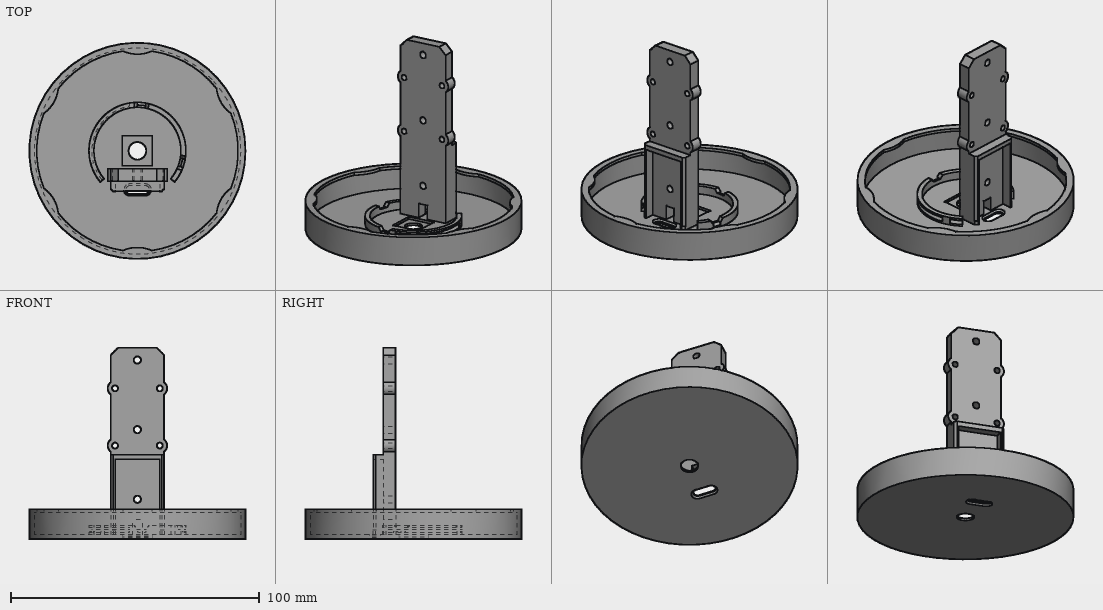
import cadquery as cq

dish_diameter = 87.0
cavity_diameter = 83.0
lip_diameter = 81.0
dish_height = 12.0
floor_thickness = 2.0
lip_thickness = 1.2

bump_count = 6
bump_first_angle = 30.0
bump_radius = 14.3
bump_tip_distance = 38.85

centre_hole_diameter = 7.0
pocket_side = 12.0
pocket_depth = 1.0

slot_centre_y = -15.6
slot_pitch = 6.0
slot_width = 3.5
slot_chamfer = 0.75
slot_chamfer_angle = 45.0

ring_outer_radius = 19.5
ring_inner_radius = 17.5
ring_height = 3.5
ring_start_angle = -40.0
ring_end_angle = 220.0
groove_depth = 1.1
groove_lip = 0.8
groove_start_angle = 100.0
stop_angle = 200.0
stop_span = 9.5

notch_angles = (85.0, -15.0)
notch_top_width = 5.8
notch_bottom_width = 3.4

plate_width = 21.5
plate_thickness = 5.0
plate_back_y = -7.2
plate_top_z = 77.0
plate_corner_chamfer = 3.0
centre_screw_diameter = 2.8
centre_screw_heights = (16.0, 44.0, 72.0)

lug_radius = 3.0
lug_hole_diameter = 2.3
lug_spacing_x = 18.0
lug_heights = (37.6, 60.6)

frame_depth = 4.0
frame_top_z = 34.0
frame_chamfer = 1.0
recess_width = 18.0
recess_top_z = 32.0
foot_step = 0.2
foot_height = 1.8
wire_gate_width = 4.0
wire_gate_height = 6.0

floor_z = floor_thickness
ring_top_z = floor_z + ring_height
groove_radius = ring_outer_radius - groove_depth
notch_floor_z = floor_z + groove_lip + groove_depth
plate_front_y = plate_back_y - plate_thickness
frame_front_y = plate_front_y - frame_depth
cut_margin = 1.0


def disc(diameter, z_bottom, z_top):
    """Upright cylinder on the dish axis."""
    return cq.Workplane("XY").workplane(offset=z_bottom).circle(diameter / 2).extrude(z_top - z_bottom)


def block(width, y_front, y_back, z_bottom, z_top):
    """Box centred on X = 0 between the given Y and Z limits."""
    size = (width, y_back - y_front, z_top - z_bottom)
    return cq.Workplane("XY").box(*size, centered=(True, False, False)).translate((0, y_front, z_bottom))


def plate_rods(points, diameter):
    """Cylinders through the plate thickness at the given (x, z) points."""
    plane = cq.Workplane("XZ", origin=(0, plate_back_y, 0))
    return plane.pushPoints(points).circle(diameter / 2).extrude(plate_thickness)


def make_dish():
    lip_bottom_z = dish_height - lip_thickness
    dish = disc(dish_diameter, 0, dish_height)
    dish = dish.cut(disc(cavity_diameter, floor_z, lip_bottom_z))
    opening = disc(lip_diameter, lip_bottom_z, dish_height)
    bumps = (
        cq.Workplane("XY")
        .workplane(offset=lip_bottom_z)
        .polarArray(bump_tip_distance + bump_radius, bump_first_angle, 360, bump_count)
        .circle(bump_radius)
        .extrude(lip_thickness)
    )
    return dish.cut(opening.cut(bumps))


def make_floor_cuts():
    pocket = block(pocket_side, -pocket_side / 2, pocket_side / 2, floor_z - pocket_depth, floor_z)
    hole = disc(centre_hole_diameter, 0, floor_z)
    slot_plane = cq.Workplane("XY", origin=(0, slot_centre_y, 0))
    slot = slot_plane.slot2D(slot_pitch + slot_width, slot_width).extrude(floor_z)
    mouth_width = slot_width + 2 * slot_chamfer
    cuts = pocket.union(hole).union(slot)
    for z, inward in ((floor_z, -1), (0, 1)):
        plane = cq.Workplane("XY", origin=(0, slot_centre_y, z))
        outline = plane.slot2D(slot_pitch + mouth_width, mouth_width)
        mouth = outline.extrude(inward * slot_chamfer, taper=slot_chamfer_angle)
        cuts = cuts.union(mouth)
    return cuts


def revolve_sector(profile, start_angle, end_angle):
    """Revolve an (r, z) profile counter-clockwise about Z between two angles measured from +X."""
    sector = cq.Workplane("XZ").polyline(profile).close().revolve(end_angle - start_angle, (0, 0), (0, 1))
    return sector.rotate((0, 0, 0), (0, 0, 1), start_angle)


def make_notch(angle):
    """Trapezoidal cutter across the ring wall with a 45 degree ramp down its outer side."""
    gap_profile = [
        (-notch_bottom_width / 2, notch_floor_z),
        (notch_bottom_width / 2, notch_floor_z),
        (notch_top_width / 2, ring_top_z),
        (-notch_top_width / 2, ring_top_z),
    ]
    gap_start = ring_inner_radius - cut_margin
    gap_length = ring_outer_radius + cut_margin - gap_start
    gap = cq.Workplane("YZ", origin=(gap_start, 0, 0)).polyline(gap_profile).close().extrude(gap_length)
    ramp_run = groove_depth + cut_margin
    ramp_profile = [
        (groove_radius, notch_floor_z),
        (groove_radius + ramp_run, notch_floor_z),
        (groove_radius + ramp_run, notch_floor_z - ramp_run),
    ]
    ramp = cq.Workplane("XZ").polyline(ramp_profile).close().extrude(notch_bottom_width / 2, both=True)
    return gap.union(ramp).rotate((0, 0, 0), (0, 0, 1), angle)


def make_bayonet_ring():
    wall_profile = [
        (ring_inner_radius, floor_z),
        (ring_outer_radius, floor_z),
        (ring_outer_radius, ring_top_z),
        (ring_inner_radius, ring_top_z),
    ]
    groove_bottom_z = floor_z + groove_lip
    groove_top_z = ring_top_z - groove_lip
    groove_profile = [
        (ring_outer_radius, groove_bottom_z),
        (ring_outer_radius, groove_top_z),
        (groove_radius, groove_top_z),
        (groove_radius, groove_bottom_z + groove_depth),
    ]
    stop_start = stop_angle - stop_span / 2
    stop_end = stop_angle + stop_span / 2
    ring = revolve_sector(wall_profile, ring_start_angle, ring_end_angle)
    for start, end in ((groove_start_angle, stop_start), (stop_end, ring_end_angle)):
        ring = ring.cut(revolve_sector(groove_profile, start, end))
    for angle in notch_angles:
        ring = ring.cut(make_notch(angle))
    return ring


def make_plate():
    plate = block(plate_width, plate_front_y, plate_back_y, floor_z, plate_top_z)
    plate = plate.edges("|Y and >Z").chamfer(plate_corner_chamfer)
    lug_points = [(side * lug_spacing_x / 2, z) for side in (-1, 1) for z in lug_heights]
    screw_points = [(0, z) for z in centre_screw_heights]
    plate = plate.union(plate_rods(lug_points, 2 * lug_radius))
    plate = plate.cut(plate_rods(lug_points, lug_hole_diameter))
    plate = plate.cut(plate_rods(screw_points, centre_screw_diameter))
    gate = block(wire_gate_width, plate_front_y, plate_back_y, floor_z, floor_z + wire_gate_height)
    return plate.cut(gate)


def make_frame():
    frame = block(plate_width, frame_front_y, plate_front_y, floor_z, frame_top_z)
    frame = frame.edges("|Z and <Y").chamfer(frame_chamfer)
    foot_front_y = frame_front_y - foot_step
    foot = block(plate_width, foot_front_y, plate_front_y, floor_z, floor_z + foot_height)
    foot = foot.edges("|Z and <Y").chamfer(frame_chamfer)
    recess = block(recess_width, foot_front_y, plate_front_y, floor_z, recess_top_z)
    return frame.union(foot).cut(recess)


result = (
    make_dish()
    .cut(make_floor_cuts())
    .union(make_bayonet_ring())
    .union(make_plate())
    .union(make_frame())
)